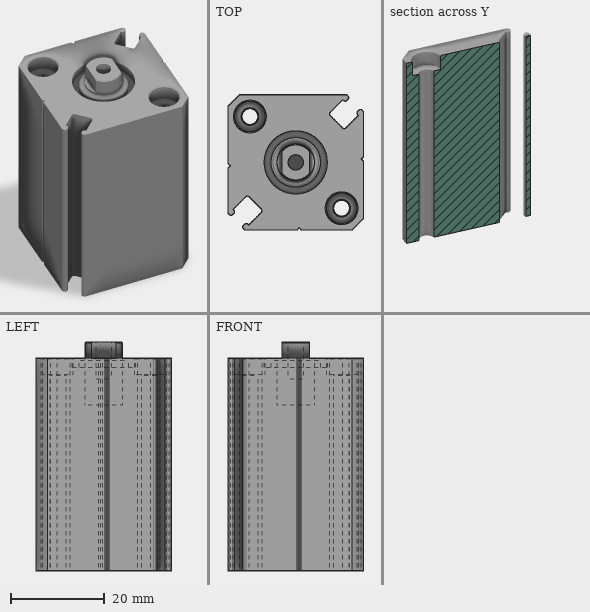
import cadquery as cq
import math

SIDE = 29.0
TOTAL_HEIGHT = 49.0
BODY_HEIGHT = 45.5
CORNER_CHAMFER = 2.5

SLOT_CORNER_CHAMFER = 3.65
SLOT_FLOOR = 12.3
SLOT_LIP = 16.55
SLOT_MOUTH_WIDTH = 3.25
SLOT_INNER_WIDTH = 4.7
SLOT_ROUND = 0.5

GROOVE_OFFSET = 0.75
GROOVE_WIDTH = 0.9
GROOVE_DEPTH = 0.55

HOLE_POSITION = 9.8
HOLE_DIAMETER = 3.4
HOLE_CHAMFER = 0.2
COUNTERBORE_DIAMETER = 6.5
COUNTERBORE_DEPTH = 3.5
COUNTERBORE_CHAMFER = 0.25

RECESS_DIAMETER = 13.5
RECESS_DEPTH = 2.0
COLLAR_DIAMETER = 10.6
COLLAR_HEIGHT = 1.45
COLLAR_ROUND = 0.45

ROD_DIAMETER = 8.0
ROD_CHAMFER = 0.25
FLAT_WIDTH = 6.0
FLAT_LENGTH = 3.55
ROD_HOLE_DIAMETER = 3.3
ROD_HOLE_DEPTH = 8.0
ROD_DEPTH = 10.0

HALF = SIDE / 2
SLOT_END = (SIDE - SLOT_CORNER_CHAMFER) / math.sqrt(2)
RECESS_FLOOR = BODY_HEIGHT - RECESS_DEPTH
ROD_BOTTOM = BODY_HEIGHT - ROD_DEPTH


def disc(diameter, bottom, top):
    """Upright cylinder on the Z axis between two heights."""
    return cq.Workplane("XY").workplane(offset=bottom).circle(diameter / 2).extrude(top - bottom)


def corner_slot(angle):
    """T-slot cutter opening through the chamfered corner that lies at this angle."""
    mouth = SLOT_MOUTH_WIDTH / 2
    inner = SLOT_INNER_WIDTH / 2
    half_outline = [
        (SLOT_FLOOR, inner),
        (SLOT_LIP, inner),
        (SLOT_LIP, mouth),
        (SLOT_END, mouth),
        (SLOT_END, inner),
        (SIDE, inner),
    ]
    mirrored = [(along, -across) for along, across in reversed(half_outline)]
    between = (mouth + inner) / 2
    lip_edges = cq.selectors.BoxSelector(
        (SLOT_LIP - SLOT_ROUND, -between, 0),
        (SIDE, between, BODY_HEIGHT),
    )
    cutter = cq.Workplane("XY").polyline(half_outline + mirrored).close().extrude(BODY_HEIGHT)
    cutter = cutter.faces("<X").edges("|Z").fillet(SLOT_ROUND)
    cutter = cutter.edges("|Z").edges(lip_edges).fillet(SLOT_ROUND)
    return cutter.rotate((0, 0, 0), (0, 0, 1), angle)


def side_groove(angle):
    """V-groove cutter in the side face whose outward normal is at this angle."""
    outline = [
        (HALF, GROOVE_OFFSET - GROOVE_WIDTH / 2),
        (HALF - GROOVE_DEPTH, GROOVE_OFFSET),
        (HALF, GROOVE_OFFSET + GROOVE_WIDTH / 2),
    ]
    cutter = cq.Workplane("XY").polyline(outline).close().extrude(BODY_HEIGHT)
    return cutter.rotate((0, 0, 0), (0, 0, 1), angle)


def mounting_hole(x, y):
    """Through-hole cutter with a counterbore, both chamfered at the top."""
    hole = HOLE_DIAMETER / 2
    bore = COUNTERBORE_DIAMETER / 2
    bore_floor = BODY_HEIGHT - COUNTERBORE_DEPTH
    profile = [
        (0, 0),
        (hole, 0),
        (hole, bore_floor - HOLE_CHAMFER),
        (hole + HOLE_CHAMFER, bore_floor),
        (bore, bore_floor),
        (bore, BODY_HEIGHT - COUNTERBORE_CHAMFER),
        (bore + COUNTERBORE_CHAMFER, BODY_HEIGHT),
        (0, BODY_HEIGHT),
    ]
    cutter = cq.Workplane("XZ").polyline(profile).close().revolve(360, (0, 0), (0, 1))
    return cutter.translate((x, y, 0))


def corner_edges(x_sign, y_sign):
    """Selector for the upright edges in one quadrant of the housing."""
    return cq.selectors.BoxSelector((0, 0, 0), (x_sign * SIDE, y_sign * SIDE, BODY_HEIGHT))


def make_housing():
    """Square profile with slots, grooves, mounting holes and a recessed collar around the rod."""
    body = cq.Workplane("XY").rect(SIDE, SIDE).extrude(BODY_HEIGHT)
    body = body.edges("|Z").edges(corner_edges(1, -1) + corner_edges(-1, 1)).chamfer(CORNER_CHAMFER)
    slot_corners = corner_edges(1, 1) + corner_edges(-1, -1)
    body = body.edges("|Z").edges(slot_corners).chamfer(SLOT_CORNER_CHAMFER)
    body = body.edges("|Z").edges(slot_corners).fillet(SLOT_ROUND)

    for angle in (45, 225):
        body = body.cut(corner_slot(angle))
    for angle in (0, 180, 270):
        body = body.cut(side_groove(angle))
    for sign in (-1, 1):
        body = body.cut(mounting_hole(sign * HOLE_POSITION, -sign * HOLE_POSITION))

    recess = disc(RECESS_DIAMETER, RECESS_FLOOR, BODY_HEIGHT)
    collar = disc(COLLAR_DIAMETER, RECESS_FLOOR, RECESS_FLOOR + COLLAR_HEIGHT)
    collar = collar.faces(">Z").edges().fillet(COLLAR_ROUND)
    rod_bore = disc(ROD_DIAMETER, ROD_BOTTOM, BODY_HEIGHT)
    return body.cut(recess).union(collar).cut(rod_bore)


def make_rod():
    """Round rod with a chamfered tip, two wrench flats and a blind end hole."""
    rod = disc(ROD_DIAMETER, ROD_BOTTOM, TOTAL_HEIGHT).faces(">Z").chamfer(ROD_CHAMFER)
    beyond_rod = 2 * ROD_DIAMETER
    flats = (
        cq.Workplane("XY").workplane(offset=TOTAL_HEIGHT - FLAT_LENGTH)
        .rect(beyond_rod, beyond_rod)
        .rect(FLAT_WIDTH, beyond_rod - ROD_DIAMETER / 2)
        .extrude(FLAT_LENGTH)
    )
    end_hole = disc(ROD_HOLE_DIAMETER, TOTAL_HEIGHT - ROD_HOLE_DEPTH, TOTAL_HEIGHT)
    return rod.cut(flats).cut(end_hole)


housing = make_housing()
rod = make_rod()
result = cq.Compound.makeCompound([housing.val(), rod.val()])